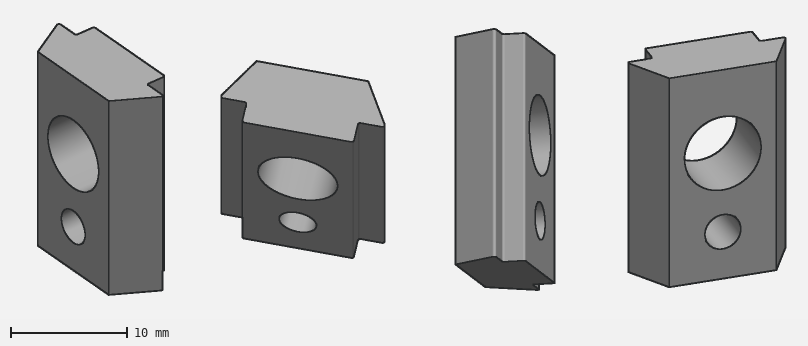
import cadquery as cq
import math

length = 20.0
depth = 6.2
neck_width = 9.8
flange_depth = 4.2
flank_angle = 30.0
edge_radius = 0.2

large_hole_diameter = 7.0
large_hole_height = 12.0
small_hole_diameter = 3.28
small_hole_height = 4.5

half_neck = neck_width / 2
half_flange = half_neck + flange_depth * math.tan(math.radians(flank_angle))


def nut_body():
    """Dovetail flange with a straight neck, rounded everywhere but at the front face."""
    profile = [
        (-half_neck, 0),
        (half_neck, 0),
        (half_flange, flange_depth),
        (half_neck, flange_depth),
        (half_neck, depth),
        (-half_neck, depth),
        (-half_neck, flange_depth),
        (-half_flange, flange_depth),
    ]
    body = cq.Workplane("XY").polyline(profile).close().extrude(length)
    front_edges = cq.selectors.BoxSelector(
        (-half_flange, -edge_radius, 0), (half_flange, edge_radius, length)
    )
    rounded_edges = cq.selectors.SubtractSelector(
        cq.selectors.ParallelDirSelector(cq.Vector(0, 0, 1)), front_edges
    )
    return body.edges(rounded_edges).fillet(edge_radius)


def through_hole(diameter, height):
    """Cylinder along Y, centred on X, crossing the full depth."""
    return (
        cq.Workplane("XZ")
        .center(0, height)
        .circle(diameter / 2)
        .extrude(-depth)
    )


result = nut_body()
for diameter, height in (
    (large_hole_diameter, large_hole_height),
    (small_hole_diameter, small_hole_height),
):
    result = result.cut(through_hole(diameter, height))